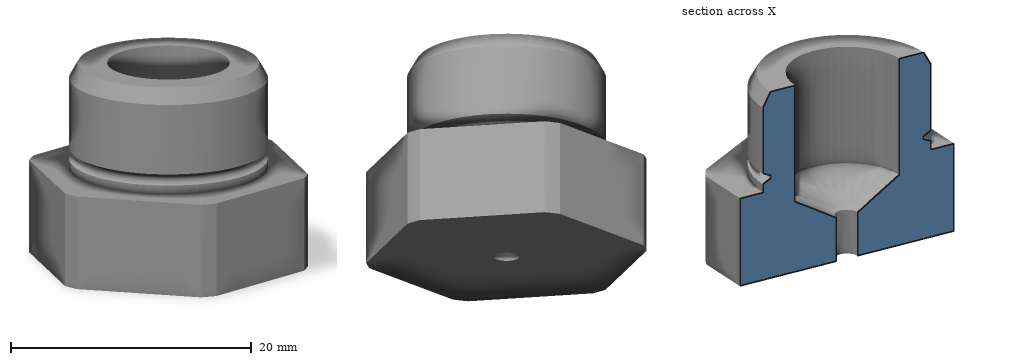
import cadquery as cq
import math

corner_diameter = 23.5
across_flats = 21.0
head_height = 8.0

total_height = 17.0
shank_diameter = 16.55
tip_chamfer_length = 1.3
tip_chamfer_angle = 30.0

collar_height = 0.75
groove_width = 0.96
groove_depth = 0.78
root_width = 0.24
root_hollow = 0.05

bore_diameter = 10.2
bore_depth = 10.58
drill_point_angle = 118.0
through_hole_diameter = 2.1


def make_head():
    """Hexagonal prism with two flats facing +Y and -Y and its corners turned to a cylinder."""
    hexagon_diameter = across_flats / math.cos(math.pi / 6)
    hexagon = cq.Workplane("XY").polygon(6, hexagon_diameter).extrude(head_height)
    turned_blank = cq.Workplane("XY").circle(corner_diameter / 2).extrude(head_height)
    return hexagon.intersect(turned_blank)


def make_shank():
    """Cylinder on top of the head with a conical lead-in at its tip."""
    radius = shank_diameter / 2
    tip_radius = radius - tip_chamfer_length * math.tan(math.radians(tip_chamfer_angle))
    return (
        cq.Workplane("XZ")
        .moveTo(0, head_height)
        .lineTo(radius, head_height)
        .lineTo(radius, total_height - tip_chamfer_length)
        .lineTo(tip_radius, total_height)
        .lineTo(0, total_height)
        .close()
        .revolve(360, (0, 0, 0), (0, 1, 0))
    )


def make_groove():
    """Ring with two sloping conical flanks and a slightly hollow, arc-shaped root."""
    radius = shank_diameter / 2
    root_radius = radius - groove_depth
    flank_end_radius = root_radius + root_hollow
    bottom = head_height + collar_height
    top = bottom + groove_width
    middle = (bottom + top) / 2
    return (
        cq.Workplane("XZ")
        .moveTo(radius, bottom)
        .lineTo(flank_end_radius, middle - root_width / 2)
        .threePointArc((root_radius, middle), (flank_end_radius, middle + root_width / 2))
        .lineTo(radius, top)
        .close()
        .revolve(360, (0, 0, 0), (0, 1, 0))
    )


def make_bore():
    """Stepped cavity: wide bore, conical bottom and narrow hole out through the head."""
    bore_radius = bore_diameter / 2
    hole_radius = through_hole_diameter / 2
    cone_top = total_height - bore_depth
    cone_height = (bore_radius - hole_radius) / math.tan(math.radians(drill_point_angle / 2))
    return (
        cq.Workplane("XZ")
        .lineTo(hole_radius, 0)
        .lineTo(hole_radius, cone_top - cone_height)
        .lineTo(bore_radius, cone_top)
        .lineTo(bore_radius, total_height)
        .lineTo(0, total_height)
        .close()
        .revolve(360, (0, 0, 0), (0, 1, 0))
    )


result = make_head().union(make_shank()).cut(make_groove()).cut(make_bore())